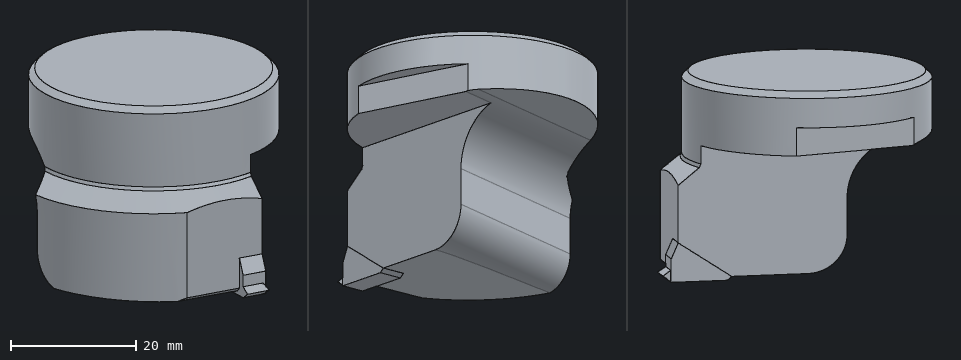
import cadquery as cq
import math

tool_angle = 15.0
height = 32.35

disc_radius = 40.0 / 2
disc_chamfer = 1.0
neck_z = -13.3
flare_top_radius = 20.25
flare_top_z = -13.9
skirt_radius = 23.5
skirt_top_z = -16.65

shank_x = -3.15
relief_radius = 9.65
relief_arc_z = -19.65
relief_slope = math.radians(5.3)
heel_arc_z = -25.6

rear_across = 6.93
lobe_floor_z = -10.35
rim_step_y = 17.0
rim_floor_z = -5.8

flat_out = 22.45
flat_chamfer = 0.65
underside_z = -31.75
underside_tilt = math.radians(0.75)

insert_width = 4.2
insert_top_z = -25.95
insert_shoulder_out = 23.6
shoulder_top_z = -28.55
shoulder_bottom_z = -30.45
tip_out = 24.95
tip_z = -31.35
insert_heel_out = 14.4
insert_tail_out = 13.65
insert_tail_z = -31.75
tip_relief_y = 0.1

span = 91.75


def in_tool_frame(shape):
    """Turn a shape drawn with out = X and across = Y into its place."""
    return shape.rotate((0, 0, 0), (0, 0, 1), -tool_angle)


def block(x_range, y_range, z_range):
    """Box given by its limits along each axis."""
    size = [high - low for low, high in (x_range, y_range, z_range)]
    return cq.Workplane("XY").box(*size, centered=False).translate((x_range[0], y_range[0], z_range[0]))


def make_turned_blank():
    return (
        cq.Workplane("XZ")
        .moveTo(0, 0)
        .lineTo(disc_radius - disc_chamfer, 0)
        .lineTo(disc_radius, -disc_chamfer)
        .lineTo(disc_radius, neck_z)
        .lineTo(flare_top_radius, flare_top_z)
        .lineTo(skirt_radius, skirt_top_z)
        .lineTo(skirt_radius, -height)
        .lineTo(0, -height)
        .close()
        .revolve(360, (0, 0, 0), (0, 1, 0))
    )


def make_side_relief():
    """Cutter along Y: sloped roof, concave arc, upright wall and rounded heel."""
    center_x = shank_x - relief_radius

    def arc_point(angle):
        return (
            center_x + relief_radius * math.sin(angle),
            relief_arc_z + relief_radius * math.cos(angle),
        )

    roof_end = arc_point(relief_slope)
    arc_middle = arc_point((relief_slope + math.pi / 2) / 2)
    outer_x = -span / 2
    outer_z = roof_end[1] + (roof_end[0] - outer_x) * math.tan(relief_slope)
    heel_radius = heel_arc_z - underside_z
    heel_x = shank_x + heel_radius
    heel_middle = (
        heel_x - heel_radius * math.cos(math.pi / 4),
        heel_arc_z - heel_radius * math.sin(math.pi / 4),
    )
    return (
        cq.Workplane("XZ")
        .moveTo(outer_x, outer_z)
        .lineTo(*roof_end)
        .threePointArc(arc_middle, (shank_x, relief_arc_z))
        .lineTo(shank_x, heel_arc_z)
        .threePointArc(heel_middle, (heel_x, underside_z))
        .lineTo(heel_x, -span)
        .lineTo(outer_x, -span)
        .close()
        .extrude(span / 2, both=True)
    )


def make_rear_steps():
    """Cutters behind the shank and under the rear rim of the disc."""
    behind_shank = in_tool_frame(block((-span, span), (rear_across, span), (-span, lobe_floor_z)))
    under_rim = block((-span, span), (rim_step_y, span), (-span, rim_floor_z))
    return behind_shank.union(under_rim)


def make_flat_cutter():
    """Cutter for the insert flat and the chamfer along its lower edge."""
    edge_z = underside_z + rear_across * math.tan(underside_tilt)
    profile = (
        cq.Workplane("XZ")
        .moveTo(flat_out, 0)
        .lineTo(flat_out, edge_z + flat_chamfer)
        .lineTo(flat_out - flat_chamfer, edge_z)
        .lineTo(flat_out - flat_chamfer, -span)
        .lineTo(span, -span)
        .lineTo(span, 0)
        .close()
        .extrude(span / 2, both=True)
    )
    below_disc = block((0, span), (-span, span), (-span, neck_z))
    return in_tool_frame(profile.intersect(below_disc))


def make_underside_cutter():
    """Cutter below a plane that rises gently away from the rear face."""
    rise = span * math.tan(underside_tilt)
    wedge = (
        cq.Workplane("YZ")
        .moveTo(rear_across, underside_z)
        .lineTo(rear_across - span, underside_z + rise)
        .lineTo(rear_across - span, -span)
        .lineTo(rear_across, -span)
        .close()
        .extrude(span / 2, both=True)
    )
    return in_tool_frame(wedge)


def make_insert():
    outline = [
        (insert_heel_out, -height),
        (insert_tail_out, insert_tail_z),
        (flat_out, insert_top_z),
        (insert_shoulder_out, shoulder_top_z),
        (insert_shoulder_out, shoulder_bottom_z),
        (tip_out, tip_z),
        (insert_shoulder_out, -height),
    ]
    plate = cq.Workplane("XZ", origin=(0, rear_across, 0)).polyline(outline).close().extrude(insert_width)
    beyond_shoulder = in_tool_frame(block((insert_shoulder_out, span), (-span, span), (-span, 0)))
    behind_tip = block((0, span), (tip_relief_y, span), (-span, 0))
    return in_tool_frame(plate).cut(beyond_shoulder.intersect(behind_tip))


insert = make_insert()
holder = (
    make_turned_blank()
    .cut(make_side_relief())
    .cut(make_rear_steps())
    .cut(make_flat_cutter())
    .cut(make_underside_cutter())
    .cut(insert)
)

result = cq.Compound.makeCompound([holder.val(), insert.val()])